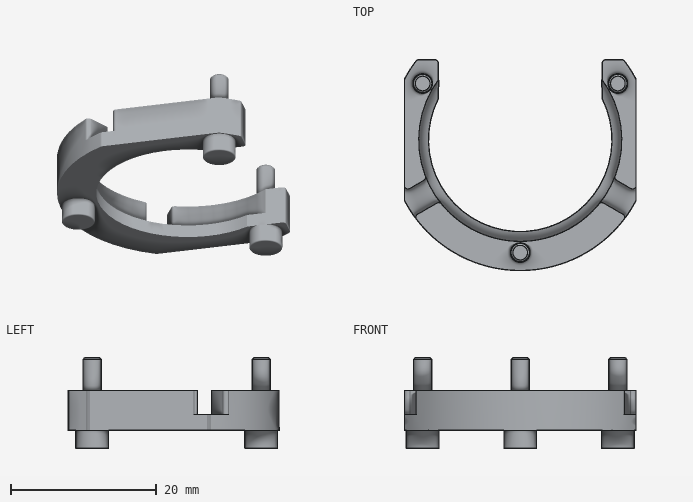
import cadquery as cq
import math

WIDTH = 31.8
OUTER_RADIUS = 17.95
BORE_RADIUS = 12.55
RECESS_RADIUS = 13.93
GAP_WIDTH = 22.45
ARM_END_Y = 11.0
RING_HEIGHT = 5.5
LEDGE_HEIGHT = 1.8
CORNER_RADIUS = 0.5
TOLERANCE = 0.003

SLOT_WIDTH = 3.6
SLOT_FLOOR = 2.2
SLOT_ANGLES = (210, 330)

SCREW_CIRCLE_RADIUS = 15.45
SCREW_ANGLES = (30, 150, 270)
CLEARANCE_DIAMETER = 2.7
SHANK_DIAMETER = 2.5
SHANK_PROJECTION = 4.48
SHANK_CHAMFER = 0.25
HEAD_DIAMETER = 4.5
HEAD_HEIGHT = 2.5
HEAD_FILLET = 0.15


def make_ring():
    """Open ring with flat sides and a gap between its two arms."""
    side_x = WIDTH / 2
    gap_x = GAP_WIDTH / 2
    side_y = math.sqrt(OUTER_RADIUS**2 - side_x**2)
    arm_x = math.sqrt(OUTER_RADIUS**2 - ARM_END_Y**2)
    bore_y = math.sqrt(BORE_RADIUS**2 - gap_x**2)
    tip_middle_angle = (math.atan2(side_y, side_x) + math.atan2(ARM_END_Y, arm_x)) / 2
    tip_x = OUTER_RADIUS * math.cos(tip_middle_angle)
    tip_y = OUTER_RADIUS * math.sin(tip_middle_angle)
    ring = (
        cq.Workplane("XY")
        .moveTo(-side_x, -side_y)
        .threePointArc((0, -OUTER_RADIUS), (side_x, -side_y))
        .lineTo(side_x, side_y)
        .threePointArc((tip_x, tip_y), (arm_x, ARM_END_Y))
        .lineTo(gap_x, ARM_END_Y)
        .lineTo(gap_x, bore_y)
        .threePointArc((0, -BORE_RADIUS), (-gap_x, bore_y))
        .lineTo(-gap_x, ARM_END_Y)
        .lineTo(-arm_x, ARM_END_Y)
        .threePointArc((-tip_x, tip_y), (-side_x, side_y))
        .close()
        .extrude(RING_HEIGHT)
    )
    inner_corners = cq.selectors.BoxSelector(
        (-gap_x - CORNER_RADIUS, bore_y - CORNER_RADIUS, 0),
        (gap_x + CORNER_RADIUS, bore_y + CORNER_RADIUS, RING_HEIGHT),
    )
    rounded_corners = cq.selectors.SubtractSelector(cq.selectors.StringSyntaxSelector("|Z"), inner_corners)
    return ring.edges(rounded_corners).fillet(CORNER_RADIUS)


def make_recess():
    """Cylinder that leaves a ledge around the bore."""
    return cq.Workplane("XY").workplane(offset=LEDGE_HEIGHT).circle(RECESS_RADIUS).extrude(RING_HEIGHT)


def make_slot(angle):
    """Radial block above the slot floor."""
    return (
        cq.Workplane("XY")
        .workplane(offset=SLOT_FLOOR)
        .rect(WIDTH, SLOT_WIDTH)
        .extrude(RING_HEIGHT)
        .translate((WIDTH / 2, 0, 0))
        .rotate((0, 0, 0), (0, 0, 1), angle)
    )


def slot_corner_edges(ring):
    """Vertical edges that rise from the slot floors."""
    middle = (SLOT_FLOOR + RING_HEIGHT) / 2
    return ring.edges("|Z").filter(
        lambda edge: abs(edge.Center().z - middle) < TOLERANCE and edge.Center().y < 0
    )


def make_screw():
    """Screw with its head against the underside of the ring."""
    head = (
        cq.Workplane("XY")
        .circle(HEAD_DIAMETER / 2)
        .extrude(-HEAD_HEIGHT)
        .faces("<Z")
        .edges()
        .fillet(HEAD_FILLET)
    )
    shank = (
        cq.Workplane("XY")
        .circle(SHANK_DIAMETER / 2)
        .extrude(RING_HEIGHT + SHANK_PROJECTION)
        .faces(">Z")
        .edges()
        .chamfer(SHANK_CHAMFER)
    )
    return head.union(shank)


ring = make_ring().cut(make_recess())
for slot_angle in SLOT_ANGLES:
    ring = ring.cut(make_slot(slot_angle))
ring = slot_corner_edges(ring).fillet(CORNER_RADIUS)

hole = cq.Workplane("XY").circle(CLEARANCE_DIAMETER / 2).extrude(RING_HEIGHT)
screw = make_screw()
result = ring
for screw_angle in SCREW_ANGLES:
    angle = math.radians(screw_angle)
    place = (SCREW_CIRCLE_RADIUS * math.cos(angle), SCREW_CIRCLE_RADIUS * math.sin(angle), 0)
    result = result.cut(hole.translate(place)).union(screw.translate(place))